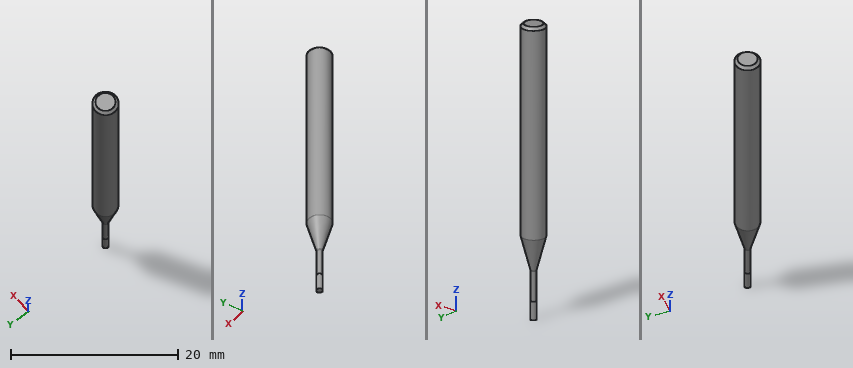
import cadquery as cq
import math

total_length = 38.1
shank_diameter = 3.15
shank_chamfer = 0.4
shank_bottom = 10.82
cutter_diameter = 0.8
cutter_length = 2.4
neck_diameter = 0.72
neck_shoulder_height = 0.1
taper_half_angle = 15.0

shank_radius = shank_diameter / 2
cutter_radius = cutter_diameter / 2
neck_radius = neck_diameter / 2
taper_height = (shank_radius - cutter_radius) / math.tan(math.radians(taper_half_angle))
taper_bottom = shank_bottom - taper_height


def make_shank():
    """Chamfered shank tapering down to a slightly relieved neck, revolved about Z."""
    profile = (
        cq.Workplane("XZ")
        .moveTo(0, cutter_length)
        .lineTo(cutter_radius, cutter_length)
        .lineTo(neck_radius, cutter_length + neck_shoulder_height)
        .lineTo(neck_radius, taper_bottom - neck_shoulder_height)
        .lineTo(cutter_radius, taper_bottom)
        .lineTo(shank_radius, shank_bottom)
        .lineTo(shank_radius, total_length - shank_chamfer)
        .lineTo(shank_radius - shank_chamfer, total_length)
        .lineTo(0, total_length)
        .close()
    )
    return profile.revolve(360, (0, 0, 0), (0, 1, 0))


def make_cutter():
    """Plain cylindrical cutting tip, butted against the end of the neck."""
    return cq.Workplane("XY").circle(cutter_radius).extrude(cutter_length)


shank = make_shank()
cutter = make_cutter()

result = cq.Compound.makeCompound([shank.val(), cutter.val()])